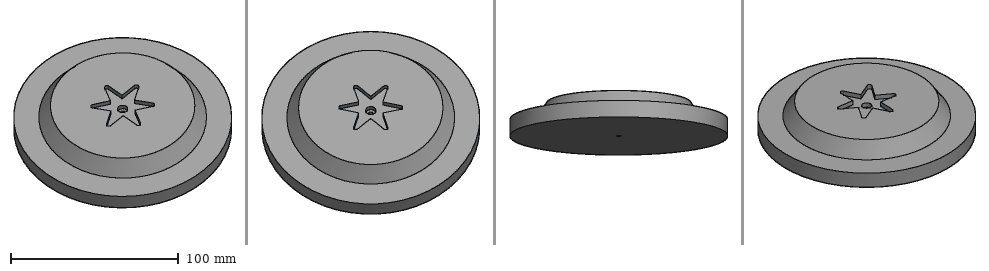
import cadquery as cq
import math

base_diameter = 130.0
base_height = 10.0
total_height = 20.0
platform_bottom_diameter = 100.0
platform_top_diameter = 86.0

point_count = 6
star_depth = 3.0
star_tip_radius = 19.0
star_inner_radius = 8.3
tip_round_radius = 1.4

counterbore_diameter = 6.0
counterbore_depth = 3.0
through_hole_diameter = 2.5


def polar(radius, angle):
    return (radius * math.cos(angle), radius * math.sin(angle))


def make_body():
    profile = [
        (0, 0),
        (base_diameter / 2, 0),
        (base_diameter / 2, base_height),
        (platform_bottom_diameter / 2, base_height),
        (platform_top_diameter / 2, total_height),
        (0, total_height),
    ]
    return cq.Workplane("XZ").polyline(profile).close().revolve(360, (0, 0), (0, 1))


def make_star(floor_height):
    half_pitch = math.pi / point_count
    round_center = star_tip_radius - tip_round_radius

    corner_x, corner_y = polar(star_inner_radius, half_pitch)
    center_distance = math.hypot(round_center - corner_x, corner_y)
    flank_length = math.sqrt(center_distance**2 - tip_round_radius**2)
    flank_angle = math.atan2(corner_y, round_center - corner_x) - math.atan2(
        tip_round_radius, flank_length
    )
    tangent_x = round_center + tip_round_radius * math.sin(flank_angle)
    tangent_y = tip_round_radius * math.cos(flank_angle)
    tangent_radius = math.hypot(tangent_x, tangent_y)
    tangent_angle = math.atan2(tangent_y, tangent_x)

    first_angle = math.pi / 2
    outline = cq.Workplane("XY", origin=(0, 0, floor_height))
    outline = outline.moveTo(*polar(star_inner_radius, first_angle - half_pitch))
    for index in range(point_count):
        angle = first_angle + index * 2 * half_pitch
        outline = outline.lineTo(*polar(tangent_radius, angle - tangent_angle))
        outline = outline.threePointArc(
            polar(star_tip_radius, angle), polar(tangent_radius, angle + tangent_angle)
        )
        if index < point_count - 1:
            outline = outline.lineTo(*polar(star_inner_radius, angle + half_pitch))
    return outline.close().extrude(star_depth)


star_floor = total_height - star_depth
counterbore_floor = star_floor - counterbore_depth

through_hole = cq.Workplane("XY").circle(through_hole_diameter / 2).extrude(star_floor)
counterbore = (
    cq.Workplane("XY", origin=(0, 0, counterbore_floor))
    .circle(counterbore_diameter / 2)
    .extrude(counterbore_depth)
)

result = make_body().cut(make_star(star_floor)).cut(counterbore).cut(through_hole)